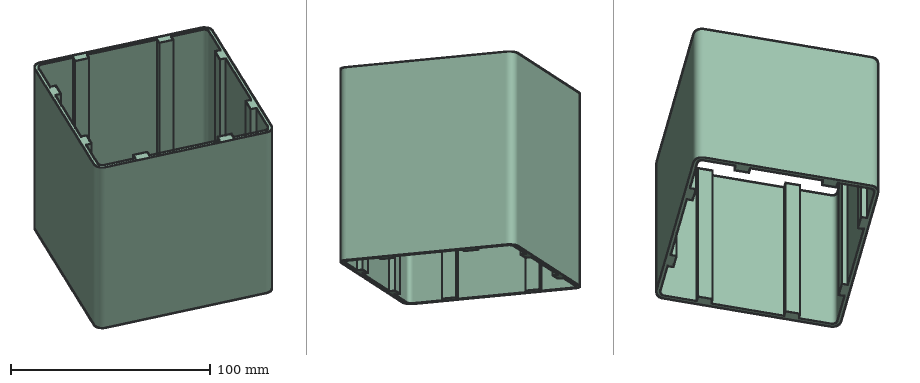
import cadquery as cq

side = 95.0
height = 100.0
wall = 2.0
outer_radius = 4.5
inner_radius = outer_radius - wall

rib_width = 7.5
rib_depth = 3.0
rib_spacing = 45.0

inner_side = side - 2 * wall


def rounded_prism(width, radius):
    """Square prism with rounded vertical edges, standing on Z = 0."""
    return (
        cq.Workplane("XY")
        .rect(width, width)
        .extrude(height)
        .edges("|Z")
        .fillet(radius)
    )


def rib_pair():
    """Two ribs on the +Y wall, rooted at mid-thickness of the wall."""
    root_depth = wall / 2
    center_y = inner_side / 2 + (root_depth - rib_depth) / 2
    return (
        cq.Workplane("XY")
        .pushPoints([(-rib_spacing / 2, center_y), (rib_spacing / 2, center_y)])
        .rect(rib_width, rib_depth + root_depth)
        .extrude(height)
    )


result = rounded_prism(side, outer_radius).cut(rounded_prism(inner_side, inner_radius))

for angle in (0, 90, 180, 270):
    result = result.union(rib_pair().rotate((0, 0, 0), (0, 0, 1), angle))